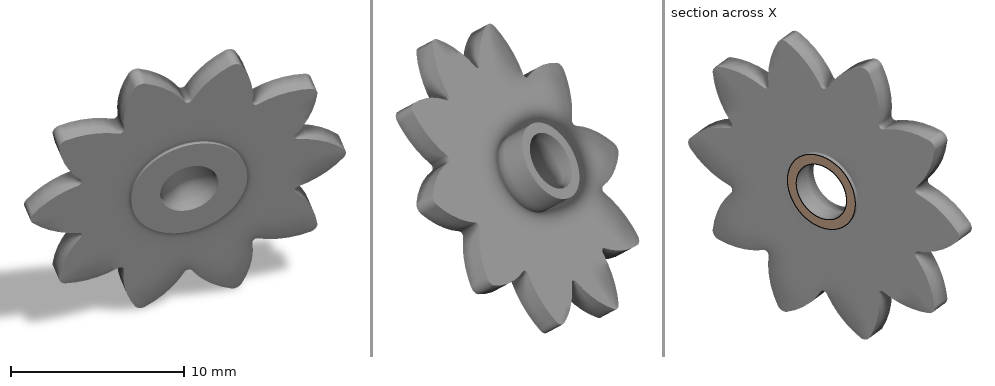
import cadquery as cq
import math

hub_length = 2.0
plate_thickness = 1.3
collar_thickness = 0.2

bore_diameter = 3.5
hub_diameter = 4.8
collar_diameter = 7.0

tooth_count = 10
outer_radius = 9.5
root_radius = 6.75
tip_round = 0.5
root_fillet = 0.25
flank_radius = 5.2

plate_start = hub_length
collar_start = plate_start + plate_thickness
total_length = collar_start + collar_thickness
tooth_pitch = 2 * math.pi / tooth_count


def polar(radius, angle):
    """Cartesian (Y, Z) point from a radius and an angle about the gear axis."""
    return (radius * math.cos(angle), radius * math.sin(angle))


def point_toward(start, target, distance):
    """Point at a distance from start, on the line from start through target."""
    span = math.dist(start, target)
    return tuple(s + (t - s) * distance / span for s, t in zip(start, target))


def flank_centre(tip_centre, root_centre):
    """Centre of the flank arc: its circle encloses the tip round and touches the root fillet from outside."""
    tip_distance = flank_radius - tip_round
    root_distance = flank_radius + root_fillet
    span = math.dist(tip_centre, root_centre)
    along = (tip_distance**2 - root_distance**2 + span**2) / (2 * span)
    offset = math.sqrt(tip_distance**2 - along**2)
    unit_u = (root_centre[0] - tip_centre[0]) / span
    unit_v = (root_centre[1] - tip_centre[1]) / span
    return (
        tip_centre[0] + along * unit_u - offset * unit_v,
        tip_centre[1] + along * unit_v + offset * unit_u,
    )


def rotated(point, angle):
    """Point turned about the gear axis."""
    return polar(math.hypot(*point), math.atan2(point[1], point[0]) + angle)


def mirrored(point):
    """Point reflected across the centreline of the first tooth."""
    return (point[0], -point[1])


def disc(diameter, start, length):
    """Cylinder on the X axis, running in +X from start."""
    return cq.Workplane("YZ").workplane(offset=start).circle(diameter / 2).extrude(length)


def toothed_plate():
    """Plate whose petal-shaped teeth are tangent arcs: flank, tip round, flank, root fillet."""
    tip_centre = (outer_radius - tip_round, 0)
    root_centre = polar(root_radius + root_fillet, tooth_pitch / 2)
    centre = flank_centre(tip_centre, root_centre)
    tip_end = point_toward(centre, tip_centre, flank_radius)
    flank_end = point_toward(centre, root_centre, flank_radius)
    flank_middle = point_toward(
        centre,
        ((tip_end[0] + flank_end[0]) / 2, (tip_end[1] + flank_end[1]) / 2),
        flank_radius,
    )

    outline = cq.Workplane("YZ").workplane(offset=plate_start).moveTo(*mirrored(flank_end))
    for tooth in range(tooth_count):
        angle = tooth * tooth_pitch
        outline = outline.threePointArc(
            rotated(mirrored(flank_middle), angle),
            rotated(mirrored(tip_end), angle),
        )
        outline = outline.threePointArc(polar(outer_radius, angle), rotated(tip_end, angle))
        outline = outline.threePointArc(rotated(flank_middle, angle), rotated(flank_end, angle))
        outline = outline.threePointArc(
            polar(root_radius, angle + tooth_pitch / 2),
            rotated(mirrored(flank_end), angle + tooth_pitch),
        )
    return outline.close().extrude(plate_thickness)


hub = disc(hub_diameter, 0, hub_length)
collar = disc(collar_diameter, collar_start, collar_thickness)
bore = disc(bore_diameter, 0, total_length)

result = toothed_plate().union(hub).union(collar).cut(bore)